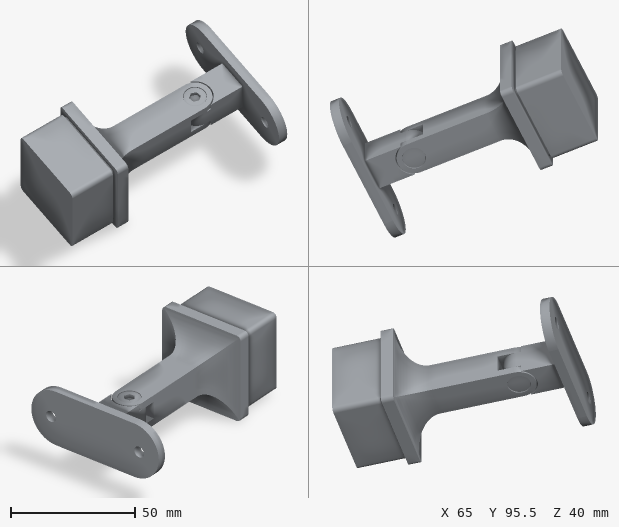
import cadquery as cq
import math

LENGTH = 95.5
BAR = 14.0

PLATE_LENGTH = 65.0
PLATE_HEIGHT = 25.0
PLATE_THICKNESS = 4.0
PLATE_HOLE_SPACING = 45.0
PLATE_HOLE_DIAMETER = 5.0

PLUG_SIDE = 36.0
PLUG_LENGTH = 20.0
NECK_SIDE = 34.0
NECK_LENGTH = 1.0
FLANGE_SIDE = 40.0
FLANGE_THICKNESS = 5.2
CORNER_RADIUS = 2.0
FLARE_RADIUS = 11.8

PIVOT_TO_WALL = 22.4
TONGUE_THICKNESS = 7.8
RECESS_RADIUS = 7.5
SLOT_CLEARANCE = 0.5
TONGUE_SETBACK = 0.5
SCREW_HOLE_DIAMETER = 9.55
SCREW_DIAMETER = 9.3
SCREW_RECESS = 0.3
SOCKET_FLATS = 4.2
SOCKET_DEPTH = 1.7
SOCKET_ANGLE = 9.0

half_bar = BAR / 2
neck_start = PLUG_LENGTH
flange_start = neck_start + NECK_LENGTH
flare_start = flange_start + FLANGE_THICKNESS
flare_end = flare_start + FLARE_RADIUS
plate_front = LENGTH - PLATE_THICKNESS
screw_top = half_bar - SCREW_RECESS
pivot_y = LENGTH - PIVOT_TO_WALL
tongue_y = pivot_y + TONGUE_SETBACK
slot_end = tongue_y - half_bar - SLOT_CLEARANCE


def block_y(width, height, y_start, y_end):
    """Box centred on the Y axis between two Y positions."""
    start_plane = cq.Workplane("XY", origin=(0, y_start, 0))
    return start_plane.box(width, y_end - y_start, height, centered=(True, False, True))


def rounded_block(side, y_start, length):
    """Square block along Y with rounded long edges."""
    return block_y(side, side, y_start, y_start + length).edges("|Y").fillet(CORNER_RADIUS)


def upright_cylinder(radius, y, height):
    """Cylinder along Z, centred on z = 0."""
    return cq.Workplane("XY").center(0, y).circle(radius).extrude(height / 2, both=True)


def round_ended_bar(y_centre, y_end, thickness):
    """Bar whose low-Y end is a half circle about y_centre."""
    return (
        cq.Workplane("XY")
        .moveTo(half_bar, y_end)
        .lineTo(half_bar, y_centre)
        .threePointArc((0, y_centre - half_bar), (-half_bar, y_centre))
        .lineTo(-half_bar, y_end)
        .close()
        .extrude(thickness / 2, both=True)
    )


def flare_prism():
    """Prism along Z, concave on its X sides, that widens from the bar to the flange."""
    foot = half_bar + FLARE_RADIUS
    arc_drop = FLARE_RADIUS * math.sqrt(0.5)
    mid_width = foot - arc_drop
    mid_y = flare_end - arc_drop
    return (
        cq.Workplane("XY")
        .moveTo(foot, flare_start)
        .threePointArc((mid_width, mid_y), (half_bar, flare_end))
        .lineTo(-half_bar, flare_end)
        .threePointArc((-mid_width, mid_y), (-foot, flare_start))
        .close()
        .extrude(foot, both=True)
    )


def make_flare():
    """Square flare: concave on its X sides and on its Z sides."""
    concave_in_x = flare_prism()
    concave_in_z = concave_in_x.rotate((0, 0, 0), (0, 1, 0), 90)
    return concave_in_x.intersect(concave_in_z)


def make_tube_support():
    """Square plug, flange, flare and forked bar."""
    plug = rounded_block(PLUG_SIDE, 0, PLUG_LENGTH)
    neck = rounded_block(NECK_SIDE, neck_start, NECK_LENGTH)
    flange = rounded_block(FLANGE_SIDE, flange_start, FLANGE_THICKNESS)
    bar = block_y(BAR, BAR, flare_end, pivot_y)
    fork_end = upright_cylinder(half_bar, pivot_y, BAR)
    slot = block_y(BAR, TONGUE_THICKNESS, slot_end, LENGTH)
    screw_hole = upright_cylinder(SCREW_HOLE_DIAMETER / 2, pivot_y, BAR)
    support = plug.union(neck).union(flange).union(make_flare()).union(bar).union(fork_end)
    return support.cut(slot).cut(screw_hole)


def make_wall_bracket():
    """Wall plate with a stub bar, its tongue and the pivot screw."""
    plate = (
        cq.Workplane("XZ", origin=(0, LENGTH, 0))
        .slot2D(PLATE_LENGTH, PLATE_HEIGHT)
        .pushPoints([(-PLATE_HOLE_SPACING / 2, 0), (PLATE_HOLE_SPACING / 2, 0)])
        .circle(PLATE_HOLE_DIAMETER / 2)
        .extrude(PLATE_THICKNESS)
    )
    fork_recess = upright_cylinder(RECESS_RADIUS, pivot_y, BAR)
    stub = block_y(BAR, BAR, pivot_y, plate_front).cut(fork_recess)
    tongue = round_ended_bar(tongue_y, plate_front, TONGUE_THICKNESS)
    screw = upright_cylinder(SCREW_DIAMETER / 2, pivot_y, 2 * screw_top)
    socket = (
        cq.Workplane("XY", origin=(0, pivot_y, screw_top))
        .transformed(rotate=(0, 0, SOCKET_ANGLE))
        .polygon(6, SOCKET_FLATS / math.cos(math.pi / 6))
        .extrude(-SOCKET_DEPTH)
    )
    return plate.union(stub).union(tongue).union(screw).cut(socket)


tube_support = make_tube_support()
wall_bracket = make_wall_bracket()

result = cq.Compound.makeCompound([tube_support.val(), wall_bracket.val()])